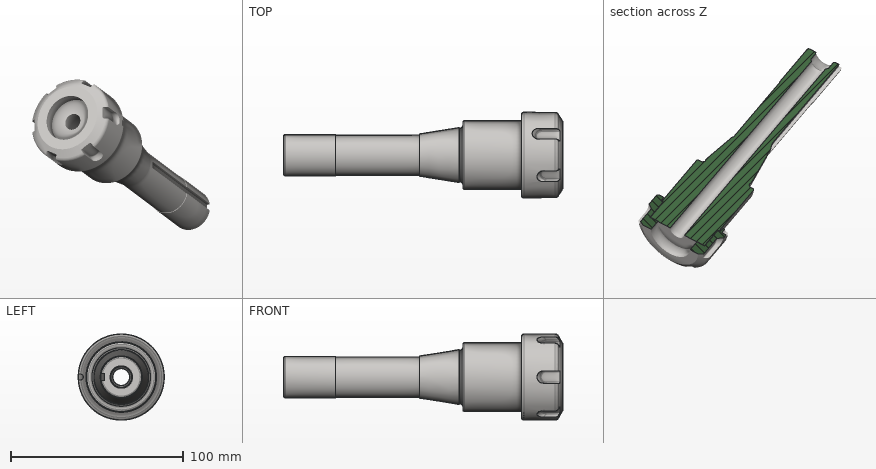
import cadquery as cq
import math


shank_diameter = 24.1
shank_length = 30.0
shank_rounding = 1.0
neck_diameter = 23.5
taper_start_x = 78.7
taper_start_diameter = 24.5
taper_end_x = 101.7
taper_end_diameter = 31.9
keyway_width = 4.0
keyway_depth = 2.3
keyway_floor_length = 68.0
keyway_cutter_radius = 12.0

groove_diameter = 31.15
groove_width = 1.0
groove_land = 0.3
flare_diameter = 34.0
collar_x = 104.0
collar_diameter = 40.0
collar_rounding = 1.0

bore_diameter = 9.73
counterbore_diameter = 12.0
counterbore_depth = 6.0
counterbore_mouth_diameter = 13.0
counterbore_mouth_depth = 1.0

nut_x = 138.0
nut_diameter = 50.0
nut_end_x = 162.0
nut_rear_rounding = 1.5
nut_relief_diameter = 41.0
nut_relief_depth = 3.0
thread_diameter = 38.38
cavity_end_x = 155.0
nut_opening_diameter = 27.0
nut_face_diameter = 38.7
nose_angle = 60.0
nose_fillet = 2.2

slot_count = 6
slot_width = 7.2
slot_floor_radius = 22.0
slot_end_angle = 35.0
cutter_clearance = 1.0
slot_floor_fillet = 0.6
slot_start_x = 147.0
long_slot_start_x = 144.2

notch_width = 3.4
notch_floor_radius = 22.0
notch_length = 3.0


def revolve_profile(profile):
    return profile.close().revolve(360, (0, 0, 0), (1, 0, 0))


def make_keyway():
    """Keyway cutter on the +Y side of the shank; its floor runs out along a cutter arc."""
    floor_y = shank_diameter / 2 - keyway_depth
    top_y = floor_y + keyway_cutter_radius
    return (
        cq.Workplane("XY", origin=(0, 0, -keyway_width / 2))
        .moveTo(0, floor_y)
        .lineTo(keyway_floor_length, floor_y)
        .radiusArc((keyway_floor_length + keyway_cutter_radius, top_y), -keyway_cutter_radius)
        .lineTo(0, top_y)
        .close()
        .extrude(keyway_width)
    )


def make_holder():
    spigot_x = nut_x + nut_relief_depth
    groove_x = taper_end_x + groove_land
    bore_radius = bore_diameter / 2
    counterbore_radius = counterbore_diameter / 2
    profile = (
        cq.Workplane("XY")
        .moveTo(0, counterbore_mouth_diameter / 2)
        .lineTo(0, shank_diameter / 2 - shank_rounding)
        .radiusArc((shank_rounding, shank_diameter / 2), shank_rounding)
        .lineTo(shank_length, shank_diameter / 2)
        .lineTo(shank_length, neck_diameter / 2)
        .lineTo(taper_start_x, neck_diameter / 2)
        .lineTo(taper_start_x, taper_start_diameter / 2)
        .lineTo(taper_end_x, taper_end_diameter / 2)
        .lineTo(groove_x, groove_diameter / 2)
        .lineTo(groove_x + groove_width, groove_diameter / 2)
        .lineTo(collar_x, flare_diameter / 2)
        .lineTo(collar_x, collar_diameter / 2 - collar_rounding)
        .radiusArc((collar_x + collar_rounding, collar_diameter / 2), collar_rounding)
        .lineTo(spigot_x, collar_diameter / 2)
        .lineTo(spigot_x, thread_diameter / 2)
        .lineTo(cavity_end_x, thread_diameter / 2)
        .lineTo(cavity_end_x, bore_radius)
        .lineTo(counterbore_depth + counterbore_radius - bore_radius, bore_radius)
        .lineTo(counterbore_depth, counterbore_radius)
        .lineTo(counterbore_mouth_depth, counterbore_radius)
    )
    return revolve_profile(profile).cut(make_keyway())


def slot_outline(plane, start_x):
    """U-shaped outline, rounded at start_x and running out past the nut's front face."""
    end_radius = slot_width / 2
    arc_x = start_x + end_radius
    front_x = nut_end_x + cutter_clearance
    return (
        plane.moveTo(arc_x, -end_radius)
        .lineTo(front_x, -end_radius)
        .lineTo(front_x, end_radius)
        .lineTo(arc_x, end_radius)
        .threePointArc((start_x, 0), (arc_x, -end_radius))
        .close()
    )


def make_slot(start_x):
    """Slot cutter on the +Y side of the nut; its rounded end leans back towards the rim."""
    lean = math.tan(math.radians(slot_end_angle))
    rim_depth = nut_diameter / 2 - slot_floor_radius
    cutter_height = rim_depth + cutter_clearance
    floor_plane = cq.Workplane("XZ", origin=(0, slot_floor_radius, 0))
    floor_outline = slot_outline(floor_plane, start_x + rim_depth * lean)
    top_plane = floor_outline.workplane(offset=-cutter_height)
    top_outline = slot_outline(top_plane, start_x - cutter_clearance * lean)
    return top_outline.loft(ruled=True).faces("<Y").edges().fillet(slot_floor_fillet)


def make_nut():
    nut_radius = nut_diameter / 2
    nose_height = nut_radius - nut_face_diameter / 2
    nose_x = nut_end_x - nose_height / math.tan(math.radians(nose_angle))
    relief_end_x = nut_x + nut_relief_depth
    profile = (
        cq.Workplane("XY")
        .moveTo(nut_x, nut_relief_diameter / 2)
        .lineTo(nut_x, nut_radius - nut_rear_rounding)
        .radiusArc((nut_x + nut_rear_rounding, nut_radius), nut_rear_rounding)
        .lineTo(nose_x, nut_radius)
        .lineTo(nut_end_x, nut_face_diameter / 2)
        .lineTo(nut_end_x, nut_opening_diameter / 2)
        .lineTo(cavity_end_x, nut_opening_diameter / 2)
        .lineTo(cavity_end_x, thread_diameter / 2)
        .lineTo(relief_end_x, thread_diameter / 2)
        .lineTo(relief_end_x, nut_relief_diameter / 2)
    )
    nose_center = (nose_x, 0, 0)
    nut = revolve_profile(profile).edges(cq.NearestToPointSelector(nose_center)).fillet(nose_fillet)
    for index in range(slot_count):
        angle = index * 360 / slot_count
        on_positive_y = math.cos(math.radians(angle)) > 0
        start_x = long_slot_start_x if on_positive_y else slot_start_x
        slot = make_slot(start_x).rotate((0, 0, 0), (1, 0, 0), angle)
        nut = nut.cut(slot)
    notch_radius = notch_width / 2
    notch_center = notch_floor_radius + notch_radius
    notch = (
        cq.Workplane("YZ", origin=(nut_x, 0, 0))
        .moveTo(nut_diameter, notch_radius)
        .lineTo(notch_center, notch_radius)
        .threePointArc((notch_floor_radius, 0), (notch_center, -notch_radius))
        .lineTo(nut_diameter, -notch_radius)
        .close()
        .extrude(notch_length)
    )
    return nut.cut(notch)


holder = make_holder()
nut = make_nut()
result = cq.Compound.makeCompound([holder.val(), nut.val()])